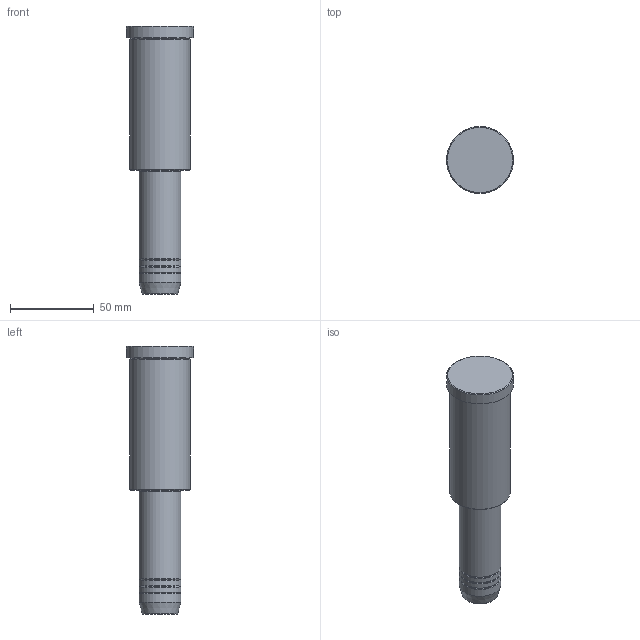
import math

import cadquery as cq

total_length = 160.0

head_diameter = 40.0
head_height = 7.0
head_chamfer = 0.5

body_diameter = 36.0
body_length = 79.0
body_chamfer = 0.5

shank_diameter = 25.0

head_neck_width = 1.0
head_neck_depth = 0.5
shank_neck_width = 1.0
shank_neck_depth = 0.5

groove_count = 3
groove_width = 1.0
groove_depth = 0.3
groove_pitch = 4.0
lowest_groove_z = 12.5

tip_length = 7.0
tip_half_angle = 15.0
tip_fillet = 0.5

head_bottom = total_length - head_height
body_bottom = head_bottom - body_length
shank_radius = shank_diameter / 2
tip_end_radius = shank_radius - tip_length * math.tan(math.radians(tip_half_angle))


def cylinder(diameter, bottom, top):
    """Solid cylinder on the Z axis between two heights."""
    return cq.Workplane("XY").workplane(offset=bottom).circle(diameter / 2).extrude(top - bottom)


def revolve_profile(points):
    """Solid of revolution about Z from (radius, height) corners."""
    return cq.Workplane("XZ").polyline(points).close().revolve(360, (0, 0, 0), (0, 1, 0))


def v_groove(diameter, depth, middle, width):
    """Cutter for a V groove centred at the given height on a cylinder."""
    radius = diameter / 2
    return revolve_profile([
        (radius, middle - width / 2),
        (radius, middle + width / 2),
        (radius - depth, middle),
    ])


def make_head():
    """Head flange, chamfered around its top face."""
    return cylinder(head_diameter, head_bottom, total_length).faces(">Z").edges().chamfer(head_chamfer)


def make_body():
    """Body cylinder, chamfered at the lower end and necked under the head."""
    body = cylinder(body_diameter, body_bottom, head_bottom)
    body = body.faces("<Z").edges().chamfer(body_chamfer)
    neck_middle = head_bottom - head_neck_width / 2
    return body.cut(v_groove(body_diameter, head_neck_depth, neck_middle, head_neck_width))


def make_shank():
    """Straight shank with a neck under the body and evenly spaced oil grooves."""
    neck_bottom = body_bottom - shank_neck_width
    neck_diameter = shank_diameter - 2 * shank_neck_depth
    shank = cylinder(shank_diameter, tip_length, neck_bottom)
    for index in range(groove_count):
        groove_middle = lowest_groove_z + index * groove_pitch
        shank = shank.cut(v_groove(shank_diameter, groove_depth, groove_middle, groove_width))
    return shank.union(cylinder(neck_diameter, neck_bottom, body_bottom))


def make_tip():
    """Cone narrowing from the shank down to the flat, round-edged end."""
    cone = revolve_profile([
        (0, 0),
        (tip_end_radius, 0),
        (shank_radius, tip_length),
        (0, tip_length),
    ])
    return cone.faces("<Z").edges().fillet(tip_fillet)


result = make_head().union(make_body()).union(make_shank()).union(make_tip())